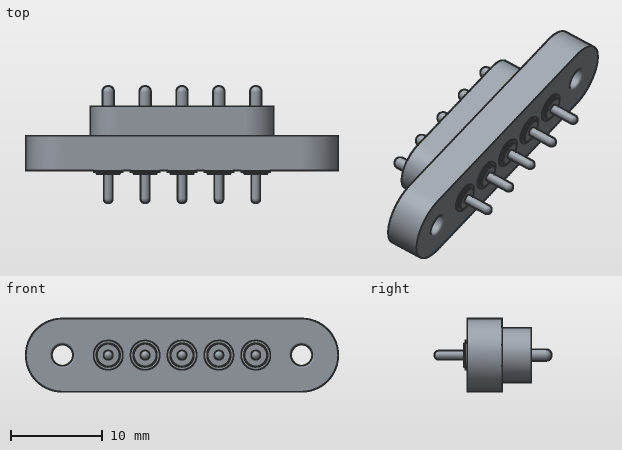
import cadquery as cq
import math

plate_length = 34.0
plate_height = 8.0
plate_thickness = 3.8
boss_length = 20.0
boss_height = 6.0
boss_depth = 3.2
boss_back = plate_thickness + boss_depth

mount_hole_dia = 2.28
mount_rim_dia = 2.82
mount_rim_fillet = (mount_rim_dia - mount_hole_dia) / 2
mount_hole_x = (plate_length - plate_height) / 2

pin_count = 5
pin_pitch = 4.0
pin_front_reach = 3.57
pin_back_reach = 2.2
pin_front_radius = 0.5
pin_back_radius = 0.65

flange_radius = 1.6
flange_step = 0.17
collar_radius = 1.3
collar_step = 0.2
collar_chamfer = 0.07

pin_positions = [(i - (pin_count - 1) / 2) * pin_pitch for i in range(pin_count)]


def back_facing_plane(y):
    """Plane across the Y axis at the given y, with its normal toward +Y and its local y along +Z."""
    return cq.Plane(origin=(0, y, 0), xDir=(-1, 0, 0), normal=(0, 1, 0))


def rounded_block(length, height, y_start, depth):
    """Block with full-round ends, extruded toward +Y."""
    return cq.Workplane(back_facing_plane(y_start)).slot2D(length, height).extrude(depth)


def bores(centers_x, radius, depth):
    """Round cutters running from the front face toward +Y."""
    centers = [(x, 0) for x in centers_x]
    return cq.Workplane(back_facing_plane(0)).pushPoints(centers).circle(radius).extrude(depth)


def make_housing():
    """Plate with rounded-over mounting holes, plus the boss, bored through for the pins."""
    plate = rounded_block(plate_length, plate_height, 0, plate_thickness)
    plate = plate.cut(bores([-mount_hole_x, mount_hole_x], mount_hole_dia / 2, plate_thickness))

    mount_rims = plate.faces("<Y").edges(cq.selectors.RadiusNthSelector(0))
    plate = mount_rims.fillet(mount_rim_fillet)

    boss = rounded_block(boss_length, boss_height, plate_thickness, boss_depth)
    return plate.union(boss).cut(bores(pin_positions, pin_back_radius, boss_back))


def make_pin(x):
    """Round pin along Y with domed ends, turned from one half profile."""
    collar_front = -flange_step - collar_step
    front_dome = -pin_front_reach + pin_front_radius
    back_dome = boss_back + pin_back_reach - pin_back_radius
    dome_mid = math.sin(math.pi / 4)
    profile = (
        cq.Workplane("XY")
        .moveTo(0, -pin_front_reach)
        .threePointArc(
            (pin_front_radius * dome_mid, front_dome - pin_front_radius * dome_mid),
            (pin_front_radius, front_dome),
        )
        .lineTo(pin_front_radius, collar_front)
        .lineTo(collar_radius - collar_chamfer, collar_front)
        .lineTo(collar_radius, collar_front + collar_chamfer)
        .lineTo(collar_radius, -flange_step)
        .lineTo(flange_radius, -flange_step)
        .lineTo(flange_radius, 0)
        .lineTo(pin_back_radius, 0)
        .lineTo(pin_back_radius, back_dome)
        .threePointArc(
            (pin_back_radius * dome_mid, back_dome + pin_back_radius * dome_mid),
            (0, boss_back + pin_back_reach),
        )
        .close()
    )
    return profile.revolve(360, (0, 0, 0), (0, 1, 0)).translate((x, 0, 0))


housing = make_housing()
pins = [make_pin(x) for x in pin_positions]

result = cq.Compound.makeCompound([housing.val(), *[pin.val() for pin in pins]])